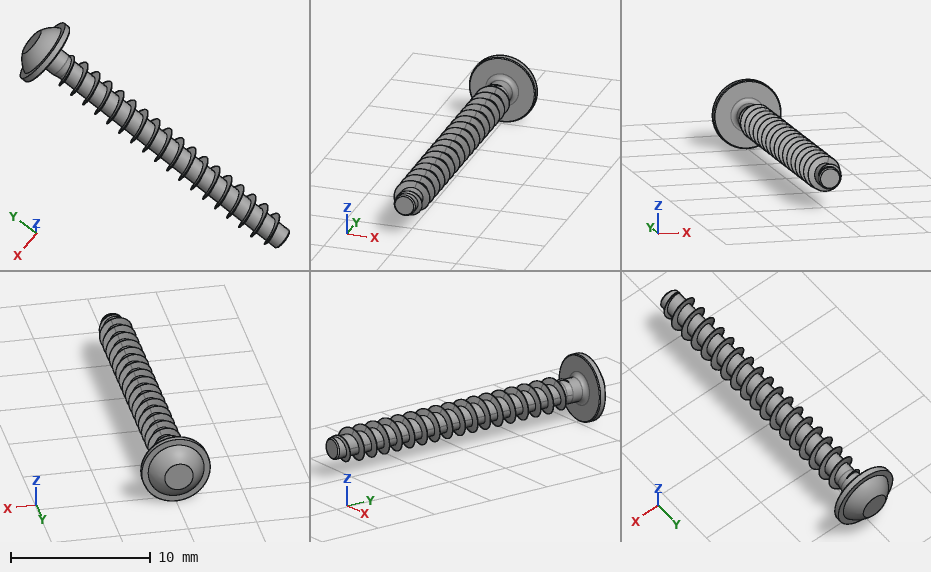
import cadquery as cq
import math

total_length = 23.5
dome_height = 1.0
flange_thickness = 0.5
shank_length = total_length - dome_height - flange_thickness

flange_diameter = 5.0
flange_radius = flange_diameter / 2
flange_bevel = 0.07
dome_base_radius = 2.05
dome_top_radius = 1.03

neck_radius = 0.9
neck_fillet = 0.35
neck_length = 1.2
neck_taper_length = 0.47
core_radius = 0.8
tip_bevel = 0.1

thread_radius = 1.27
thread_start = 0.99
thread_length = 20.75
thread_start_angle = math.pi / 2
fade_in_turns = 1.2
full_turns = 16
fade_out_turns = 1.3
thread_turns = fade_in_turns + full_turns + fade_out_turns
pitch = thread_length / thread_turns
root_depth_in_core = 0.1
faded_crest_depth_in_core = 0.02
root_radius = core_radius - root_depth_in_core
faded_radius = core_radius - faded_crest_depth_in_core
crest_half_width = 0.02
root_width_head_side = 0.1
root_width_tip_side = 0.16
points_per_turn = 24


def make_blank():
    """Head, neck and core as one revolved profile."""
    dome_base_y = flange_thickness
    head_top_y = flange_thickness + dome_height
    centre_depth = (dome_base_radius**2 - dome_top_radius**2 - dome_height**2) / (2 * dome_height)
    sphere_radius = math.hypot(dome_base_radius, centre_depth)
    dome_middle_rise = dome_height / 2
    dome_middle_radius = math.sqrt(sphere_radius**2 - (centre_depth + dome_middle_rise) ** 2)
    fillet_offset = neck_fillet * (1 - math.sqrt(0.5))

    profile = (
        cq.Workplane("XY")
        .moveTo(0, head_top_y)
        .lineTo(dome_top_radius, head_top_y)
        .threePointArc(
            (dome_middle_radius, dome_base_y + dome_middle_rise),
            (dome_base_radius, dome_base_y),
        )
        .lineTo(flange_radius, dome_base_y)
        .lineTo(flange_radius, flange_bevel)
        .lineTo(flange_radius - flange_bevel, 0)
        .lineTo(neck_radius + neck_fillet, 0)
        .threePointArc(
            (neck_radius + fillet_offset, -fillet_offset),
            (neck_radius, -neck_fillet),
        )
        .lineTo(neck_radius, -neck_length)
        .lineTo(core_radius, -neck_length - neck_taper_length)
        .lineTo(core_radius, tip_bevel - shank_length)
        .lineTo(core_radius - tip_bevel, -shank_length)
        .lineTo(0, -shank_length)
        .close()
    )
    return profile.revolve(360, (0, 0, 0), (0, 1, 0))


def root_radius_at(turn):
    """Root radius, constant and sunk below the core so that the ridge merges with it."""
    return root_radius


def crest_radius_at(turn):
    """Crest radius after a number of turns, rising at the start and falling at the end."""
    rise = min(turn / fade_in_turns, 1.0)
    fall = min((thread_turns - turn) / fade_out_turns, 1.0)
    fade = math.sin(math.pi / 2 * max(min(rise, fall), 0.0))
    return faded_radius + (thread_radius - faded_radius) * fade


def helix_edge(radius_at, shift, first_turn, last_turn):
    """Helical edge running from the head towards the tip, moved along Y by shift."""
    span = last_turn - first_turn
    count = math.ceil(span * points_per_turn)
    points = []
    for index in range(count + 1):
        turn = first_turn + span * index / count
        angle = thread_start_angle - 2 * math.pi * turn
        radius = radius_at(turn)
        y = shift - thread_start - pitch * turn
        points.append(cq.Vector(radius * math.sin(angle), y, radius * math.cos(angle)))
    return cq.Edge.makeSpline(points)


def make_thread_piece(first_turn, last_turn):
    """Stretch of the thread ridge, steeper on the head side, with a flat face at either end."""
    corners = [
        (root_radius_at, root_width_head_side),
        (crest_radius_at, crest_half_width),
        (crest_radius_at, -crest_half_width),
        (root_radius_at, -root_width_tip_side),
    ]
    edges = [helix_edge(radius_at, shift, first_turn, last_turn) for radius_at, shift in corners]
    faces = [cq.Face.makeRuledSurface(edges[index - 1], edge) for index, edge in enumerate(edges)]
    for end_points in (
        [edge.startPoint() for edge in edges],
        [edge.endPoint() for edge in edges],
    ):
        faces.append(cq.Face.makeFromWires(cq.Wire.makePolygon(end_points, close=True)))
    return cq.Solid.makeSolid(cq.Shell.makeShell(faces))


breaks = [0.0]
breaks += [fade_in_turns + turn for turn in range(full_turns + 1)]
breaks.append(thread_turns)
thread_pieces = [make_thread_piece(first, last) for first, last in zip(breaks, breaks[1:])]

result = cq.Workplane(obj=make_blank().val().fuse(*thread_pieces).Solids()[0])